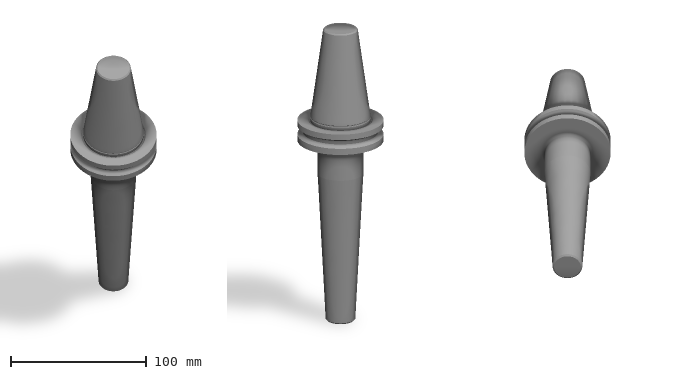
import cadquery as cq

total_length = 228.5
top_z = total_length / 2
bottom_z = -total_length / 2

shank_length = 68.3
shank_top_radius = 12.8
shank_base_radius = 22.2
shank_chamfer_height = 1.0
shank_chamfer_width = 1.0
shank_base_z = top_z - shank_length

collar_step = 0.5
relief_height = 1.4
relief_floor_height = 0.7
collar_radius = shank_base_radius
relief_radius = collar_radius - collar_step
relief_floor_drop = (relief_height - relief_floor_height) / 2

flange_radius = 31.7
flange_top_z = top_z - 71.5
flange_bottom_z = top_z - 87.5
groove_floor_radius = 27.9
groove_mid_z = top_z - 79.3
groove_floor_width = 2.7
groove_mouth_width = 6.9

recess_radius = 23.8
recess_depth = 0.7
recess_wall_slope = 0.7

nose_radius = 17.0
nose_fillet = 1.8
nose_taper_start_z = top_z - 113.3
tip_radius = 11.0
tip_chamfer = 1.1


def make_body():
    """Revolve the complete outer half-profile around Z."""
    fillet_sag = nose_fillet * (1 - 0.5 ** 0.5)
    profile = (
        cq.Workplane("XZ")
        .moveTo(0, top_z)
        .lineTo(shank_top_radius - shank_chamfer_width, top_z)
        .lineTo(shank_top_radius, top_z - shank_chamfer_height)
        .lineTo(shank_base_radius, shank_base_z)
        .lineTo(relief_radius, shank_base_z - relief_floor_drop)
        .lineTo(relief_radius, shank_base_z - relief_floor_drop - relief_floor_height)
        .lineTo(collar_radius, shank_base_z - relief_height)
        .lineTo(collar_radius, flange_top_z)
        .lineTo(flange_radius, flange_top_z)
        .lineTo(flange_radius, groove_mid_z + groove_mouth_width / 2)
        .lineTo(groove_floor_radius, groove_mid_z + groove_floor_width / 2)
        .lineTo(groove_floor_radius, groove_mid_z - groove_floor_width / 2)
        .lineTo(flange_radius, groove_mid_z - groove_mouth_width / 2)
        .lineTo(flange_radius, flange_bottom_z)
        .lineTo(nose_radius + nose_fillet, flange_bottom_z)
        .threePointArc(
            (nose_radius + fillet_sag, flange_bottom_z - fillet_sag),
            (nose_radius, flange_bottom_z - nose_fillet),
        )
        .lineTo(nose_radius, nose_taper_start_z)
        .lineTo(tip_radius, bottom_z + tip_chamfer)
        .lineTo(tip_radius - tip_chamfer, bottom_z)
        .lineTo(0, bottom_z)
        .close()
    )
    return profile.revolve(360, (0, 0, 0), (0, 1, 0))


def make_recess():
    """Ring with a sloping outer wall, removed from the flange's upper face."""
    floor_z = flange_top_z - recess_depth
    profile = (
        cq.Workplane("XZ")
        .moveTo(collar_radius, flange_top_z)
        .lineTo(recess_radius, flange_top_z)
        .lineTo(recess_radius - recess_wall_slope, floor_z)
        .lineTo(collar_radius, floor_z)
        .close()
    )
    return profile.revolve(360, (0, 0, 0), (0, 1, 0))


result = make_body().cut(make_recess())